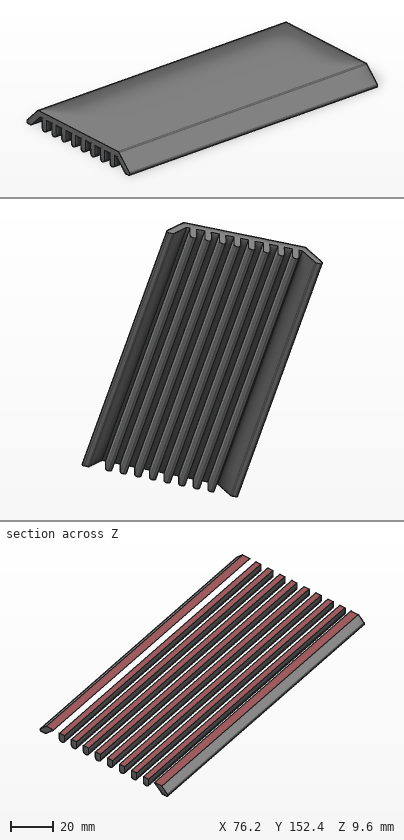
import cadquery as cq
import math

width = 76.2
length = 152.4
height = 9.6

plate_thickness = 3.0
wing_thickness = 3.2
tip_radius = 0.9
crease_radius = 1.0
wing_angle = math.radians(45)

fin_count = 8
fin_pitch = 7.2
fin_width = 3.2
fin_tip_radius = 1.5

tip_pullback = tip_radius * (1 / math.tan(wing_angle / 2) - 1)
tip_x = width / 2 + tip_pullback
top_x = tip_x - height / math.tan(wing_angle)

foot_x = tip_x - wing_thickness / math.sin(wing_angle)
plate_bottom = height - plate_thickness
inner_x = foot_x - plate_bottom / math.tan(wing_angle)


def edges_at(x, z):
    """Select the two lengthwise edges at +x and -x on height z."""
    reach = 0.02
    selector = None
    for side in (-1, 1):
        box = cq.selectors.BoxSelector(
            (side * x - reach, -length, z - reach),
            (side * x + reach, length, z + reach),
        )
        selector = box if selector is None else selector + box
    return selector


def make_shell():
    """Flat plate with a sloping wing along each long side."""
    right_half = [
        (top_x, height),
        (tip_x, 0),
        (foot_x, 0),
        (inner_x, plate_bottom),
    ]
    left_half = [(-x, z) for x, z in reversed(right_half)]
    shell = (
        cq.Workplane("XZ")
        .polyline(right_half + left_half)
        .close()
        .extrude(length / 2, both=True)
    )
    shell = shell.edges(edges_at(tip_x, 0)).fillet(tip_radius)
    shell = shell.edges(edges_at(foot_x, 0)).fillet(tip_radius)
    return shell.edges(edges_at(top_x, height)).fillet(crease_radius)


def make_fin(x):
    """Lengthwise fin with a rounded lower end, running up into the plate."""
    fin_height = height - plate_thickness / 2
    return (
        cq.Workplane("XY")
        .box(fin_width, length, fin_height, centered=(True, True, False))
        .edges("|Y and <Z")
        .fillet(fin_tip_radius)
        .translate((x, 0, 0))
    )


result = make_shell()
for index in range(fin_count):
    fin_x = (index - (fin_count - 1) / 2) * fin_pitch
    result = result.union(make_fin(fin_x))